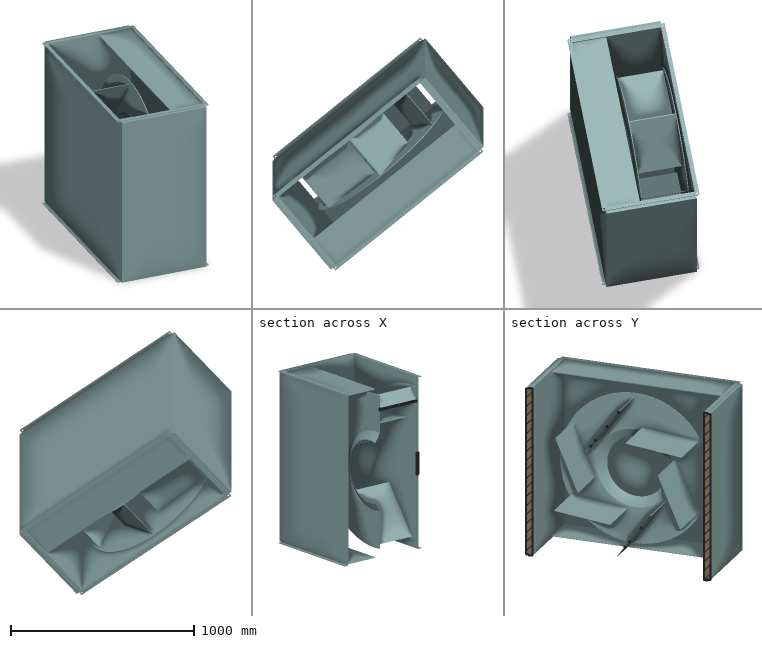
import cadquery as cq

length = 1080.0
frame_depth = 540.0
height = 982.0
casing_depth = 501.0
side_panel = 40.0
sheet = 4.0

frame_length = 1045.0
frame_opening_depth = 497.0
frame_hole_diameter = 10.0
frame_hole_inset = 12.0

shelf_front_y = 57.0
shelf_recess = 4.0

disc_radius = 440.0
disc_thickness = 4.0
front_disc_y = -238.0
back_disc_y = 24.0
hub_radius = 78.0
blade_count = 6
blade_thickness = 4.0
blade_tip = (2.7, 425.0)
blade_root = (-191.0, 162.0)

nozzle_mouth_radius = 232.0
nozzle_throat_radius = 180.0
nozzle_curve_mid = (204.0, 40.0)

casing_height = height - 2 * sheet
opening_length = length - 2 * side_panel
inner_depth = casing_depth - 2 * sheet
inner_front_y = -inner_depth / 2
inner_back_y = inner_depth / 2


def cylinder_along_y(radius, start_y, end_y):
    plane = cq.Workplane("XZ", origin=(0, start_y, 0))
    return plane.circle(radius).extrude(start_y - end_y)


def make_casing():
    outer = cq.Workplane("XY").box(length, casing_depth, casing_height)
    return outer.cut(cq.Workplane("XY").box(opening_length, inner_depth, height))


def make_frame(center_z):
    hole_spacing_x = frame_length - 2 * frame_hole_inset
    hole_spacing_y = frame_depth - 2 * frame_hole_inset
    plate = cq.Workplane("XY").box(frame_length, frame_depth, sheet)
    opening = cq.Workplane("XY").box(opening_length, frame_opening_depth, sheet)
    holes = (
        cq.Workplane("XY")
        .rect(hole_spacing_x, hole_spacing_y, forConstruction=True)
        .vertices()
        .circle(frame_hole_diameter / 2)
        .extrude(sheet, both=True)
    )
    return plate.cut(opening).cut(holes).translate((0, 0, center_z))


def make_shelf(center_z):
    depth = inner_back_y - shelf_front_y
    center_y = (inner_back_y + shelf_front_y) / 2
    return cq.Workplane("XY").box(opening_length, depth, sheet).translate((0, center_y, center_z))


def make_blade():
    """Flat blade whose tip is at the top of the wheel and is cut off level."""
    tip = cq.Vector(*blade_tip)
    root = cq.Vector(*blade_root)
    along = (root - tip).normalized()
    across = cq.Vector(-along.y, along.x) * blade_thickness
    tip_back = tip + cq.Vector(blade_thickness / -along.y, 0)
    corners = [tip, root, root + across, tip_back]
    plane = cq.Workplane("XZ", origin=(0, front_disc_y, 0))
    outline = plane.polyline([(p.x, p.y) for p in corners]).close()
    return outline.extrude(front_disc_y - back_disc_y)


def make_wheel():
    wheel = cylinder_along_y(disc_radius, front_disc_y, front_disc_y + disc_thickness)
    back_disc = cylinder_along_y(disc_radius, back_disc_y, back_disc_y + disc_thickness)
    eye = cylinder_along_y(nozzle_mouth_radius - sheet, back_disc_y, back_disc_y + disc_thickness)
    hub = cylinder_along_y(hub_radius, inner_front_y, front_disc_y)
    wheel = wheel.union(back_disc.cut(eye)).union(hub)
    blade = make_blade()
    for i in range(blade_count):
        wheel = wheel.union(blade.rotate((0, 0, 0), (0, 1, 0), i * 360 / blade_count))
    return wheel


def make_nozzle():
    """Curved mouth narrowing from the back disc to an open throat."""
    mid_radius, mid_y = nozzle_curve_mid
    inner_throat = nozzle_throat_radius - sheet
    profile = (
        cq.Workplane("XY")
        .moveTo(nozzle_mouth_radius, back_disc_y)
        .threePointArc((mid_radius, mid_y), (nozzle_throat_radius, shelf_front_y))
        .lineTo(inner_throat, shelf_front_y)
        .threePointArc((mid_radius - sheet, mid_y), (nozzle_mouth_radius - sheet, back_disc_y))
        .close()
    )
    return profile.revolve(360, (0, 0, 0), (0, 1, 0))


frame_z = (height - sheet) / 2
shelf_z = (casing_height - sheet) / 2 - shelf_recess

result = make_casing()
for end in (-1, 1):
    result = result.union(make_frame(end * frame_z)).union(make_shelf(end * shelf_z))
result = result.union(make_wheel()).union(make_nozzle())